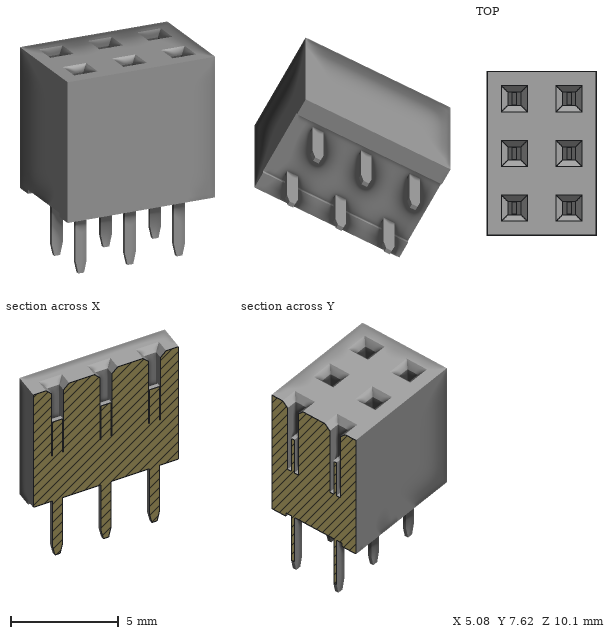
import cadquery as cq

total_height = 10.1
column_count = 2
row_count = 3
body_width = 5.08
pitch = body_width / column_count
body_length = 7.62
body_height = 7.0
body_bottom = total_height - body_height

channel_width = 3.35
channel_depth = 0.2

lead_in_size = 1.21
socket_size = 0.62
lead_in_depth = (lead_in_size - socket_size) / 2
socket_depth = 4.04
socket_floor = total_height - socket_depth

pin_thickness = 0.2
pin_width = 0.57
pin_tip_width = 0.29
pin_taper_height = 0.6
pin_recess = 2.02
pin_top = total_height - pin_recess


def make_body():
    """Rectangular housing with the channel open at both ends."""
    body = cq.Workplane("XY", origin=(0, 0, body_bottom)).box(
        body_width, body_length, body_height, centered=(True, True, False)
    )
    channel = cq.Workplane("XY", origin=(0, 0, body_bottom)).box(
        channel_width, body_length, channel_depth, centered=(True, True, False)
    )
    return body.cut(channel)


def make_socket():
    """Square blind hole topped by its lead-in, centred on the Z axis."""
    hole = cq.Workplane("XY", origin=(0, 0, socket_floor)).box(
        socket_size, socket_size, socket_depth, centered=(True, True, False)
    )
    lead_in = (
        cq.Workplane("XY", origin=(0, 0, total_height))
        .rect(lead_in_size, lead_in_size)
        .workplane(offset=-lead_in_depth)
        .rect(socket_size, socket_size)
        .loft(ruled=True)
    )
    return hole.union(lead_in)


def make_pin():
    """Flat pin on the Z axis, tapered across its width at the bottom."""
    half_width = pin_width / 2
    half_tip = pin_tip_width / 2
    outline = [
        (-half_tip, 0),
        (half_tip, 0),
        (half_width, pin_taper_height),
        (half_width, pin_top),
        (-half_width, pin_top),
        (-half_width, pin_taper_height),
    ]
    return cq.Workplane("YZ").polyline(outline).close().extrude(pin_thickness / 2, both=True)


contacts = [
    ((column - (column_count - 1) / 2) * pitch, (row - (row_count - 1) / 2) * pitch, 0)
    for column in range(column_count)
    for row in range(row_count)
]

result = make_body()
for position in contacts:
    result = result.cut(make_socket().translate(position))
    result = result.union(make_pin().translate(position))